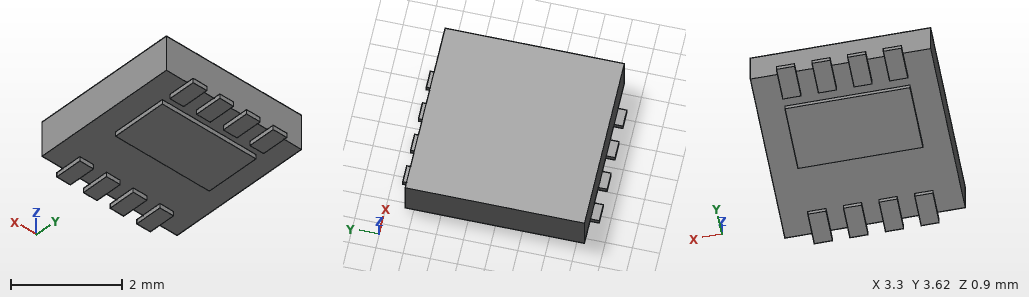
import cadquery as cq

housing_side = 3.3
overall_length = 3.62
overall_height = 0.9

contact_thickness = 0.1
lead_width = 0.333
lead_length = 0.615
lead_pitch = 0.65
leads_per_side = 4

pad_width = (leads_per_side - 1) * lead_pitch + lead_width
pad_length = 1.238
pad_center_y = 0.373


def make_block(size_x, size_y, size_z, center_x, center_y, bottom_z):
    """Rectangular block centred in X and Y, standing on bottom_z."""
    return (
        cq.Workplane("XY")
        .box(size_x, size_y, size_z, centered=(True, True, False))
        .translate((center_x, center_y, bottom_z))
    )


def make_housing():
    height = overall_height - contact_thickness
    return make_block(housing_side, housing_side, height, 0, 0, contact_thickness)


def make_pad():
    return make_block(pad_width, pad_length, contact_thickness, 0, pad_center_y, 0)


def make_lead(index, side):
    """One lead; side is -1 for the -Y row and +1 for the +Y row."""
    center_x = (index - (leads_per_side - 1) / 2) * lead_pitch
    center_y = side * (overall_length - lead_length) / 2
    return make_block(lead_width, lead_length, contact_thickness, center_x, center_y, 0)


housing = make_housing()
pad = make_pad()
leads = [make_lead(index, side) for side in (-1, 1) for index in range(leads_per_side)]

result = cq.Compound.makeCompound([housing.val(), pad.val(), *[lead.val() for lead in leads]])